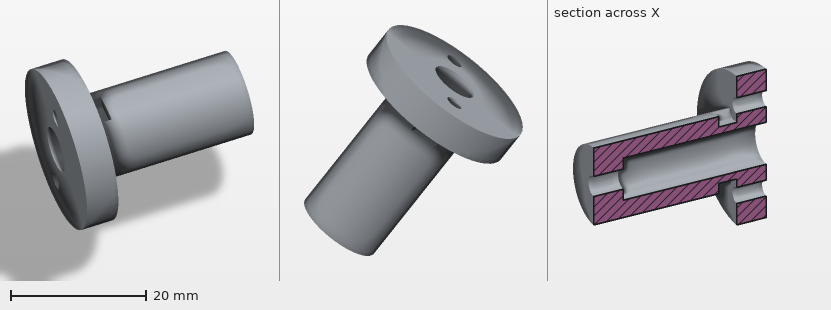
import cadquery as cq

total_length = 29.0
flange_diameter = 25.0
flange_thickness = 5.0
barrel_diameter = 13.0

bore_diameter = 7.0
end_hole_diameter = 3.3
end_wall_thickness = flange_thickness
bore_depth = total_length - end_wall_thickness

screw_hole_diameter = 2.6
screw_hole_offset = 7.5
nut_pocket_offset = 7.28
nut_corner_diameter = 5.8
nut_pocket_length = 3.0


def along_y(start=0.0):
    """Sketch plane normal to Y at the given Y position; extrusions go toward +Y."""
    plane = cq.Plane(origin=(0, start, 0), xDir=(1, 0, 0), normal=(0, 1, 0))
    return cq.Workplane(plane)


def make_body():
    flange = along_y().circle(flange_diameter / 2).extrude(flange_thickness)
    barrel = along_y().circle(barrel_diameter / 2).extrude(total_length)
    return flange.union(barrel)


def make_axial_bore():
    bore = along_y().circle(bore_diameter / 2).extrude(bore_depth)
    end_hole = along_y().circle(end_hole_diameter / 2).extrude(total_length)
    return bore.union(end_hole)


def make_screw_cutter(side):
    """Screw hole and nut pocket on opposite sides of the axis for side = 1 and side = -1."""
    hole = (
        along_y()
        .center(0, side * screw_hole_offset)
        .circle(screw_hole_diameter / 2)
        .extrude(flange_thickness)
    )
    pocket = (
        along_y(flange_thickness)
        .center(0, side * nut_pocket_offset)
        .polygon(6, nut_corner_diameter)
        .extrude(nut_pocket_length)
    )
    return hole.union(pocket)


result = make_body().cut(make_axial_bore())
for side in (1, -1):
    result = result.cut(make_screw_cutter(side))